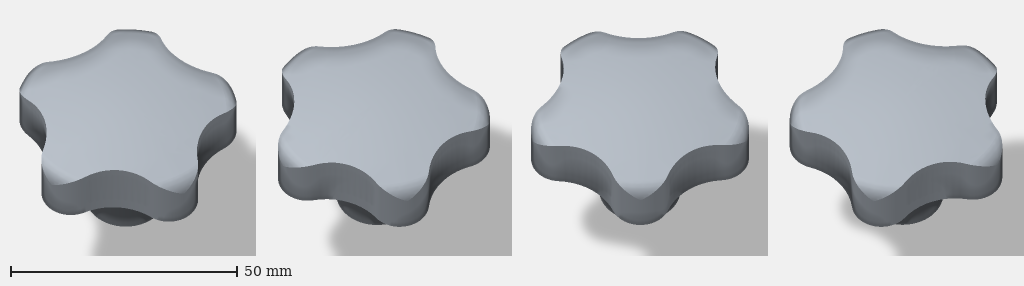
import cadquery as cq
import math

lobe_count = 5
lobe_centre_radius = 18.5
lobe_radius = 6.5
waist_radius = 18.3
head_height = 14.45
dome_radius = 100.0
rim_radius = 3.5
outer_radius = lobe_centre_radius + lobe_radius

stem_diameter = 18.0
stem_length = 17.55

first_lobe_angle = -90.0
lobe_pitch = 360.0 / lobe_count
half_pitch = lobe_pitch / 2


def polar(radius, angle):
    """Point at a radius and an angle in degrees."""
    turn = math.radians(angle)
    return radius * math.cos(turn), radius * math.sin(turn)


def tangent_offset():
    """Tangent point of lobe and scallop: distance along and across the lobe's axis."""
    centre_along, centre_across = polar(lobe_centre_radius, half_pitch)
    gap = waist_radius - centre_along
    scallop_radius = (gap**2 + centre_across**2 - lobe_radius**2) / (2 * (lobe_radius - gap))
    scallop_x, scallop_y = polar(waist_radius + scallop_radius, half_pitch)
    share = lobe_radius / (lobe_radius + scallop_radius)
    along = lobe_centre_radius + share * (scallop_x - lobe_centre_radius)
    return along, share * scallop_y


def make_star():
    """Straight-walled star prism standing on Z = 0."""
    along, across = tangent_offset()
    tangent_radius = math.hypot(along, across)
    tangent_angle = math.degrees(math.atan2(across, along))
    outline = cq.Workplane("XY").moveTo(*polar(tangent_radius, first_lobe_angle - tangent_angle))
    for index in range(lobe_count):
        angle = first_lobe_angle + index * lobe_pitch
        next_angle = angle + lobe_pitch
        outline = outline.threePointArc(
            polar(outer_radius, angle), polar(tangent_radius, angle + tangent_angle)
        )
        outline = outline.threePointArc(
            polar(waist_radius, angle + half_pitch),
            polar(tangent_radius, next_angle - tangent_angle),
        )
    return outline.close().extrude(head_height)


def make_dome():
    """Round envelope: shallow spherical top with a rim arc tangent to dome and wall."""
    dome_centre_z = head_height - dome_radius
    rim_centre_x = outer_radius - rim_radius
    rim_tilt = math.asin(rim_centre_x / (dome_radius - rim_radius))
    rim_centre_z = dome_centre_z + (dome_radius - rim_radius) * math.cos(rim_tilt)

    def dome_point(tilt):
        return dome_radius * math.sin(tilt), dome_centre_z + dome_radius * math.cos(tilt)

    rim_middle_angle = (math.pi / 2 - rim_tilt) / 2
    rim_middle = (
        rim_centre_x + rim_radius * math.cos(rim_middle_angle),
        rim_centre_z + rim_radius * math.sin(rim_middle_angle),
    )
    profile = (
        cq.Workplane("XZ")
        .lineTo(outer_radius, 0)
        .lineTo(outer_radius, rim_centre_z)
        .threePointArc(rim_middle, dome_point(rim_tilt))
        .threePointArc(dome_point(rim_tilt / 2), (0, head_height))
        .close()
    )
    return profile.revolve(360, (0, 0, 0), (0, 1, 0))


def make_stem():
    """Plain cylinder hanging below the head."""
    return cq.Workplane("XY").circle(stem_diameter / 2).extrude(-stem_length)


head = make_star().intersect(make_dome())
result = head.union(make_stem())